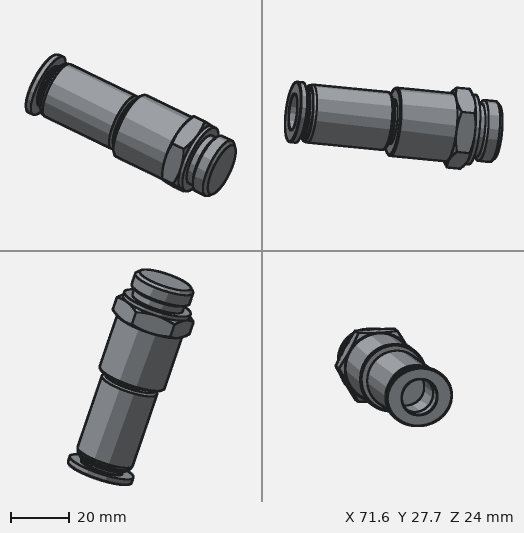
import cadquery as cq
import math


flange_width = 23.05
flange_height = 20.4
flange_thickness = 2.2
flange_edge_chamfer = 0.3
collet_neck_d = 14.5
collet_root_chamfer = 0.2
collet_end_x = 5.15
tube_bore_d = 12.3
bore_mouth_chamfer = 0.2

sleeve_start_x = 3.65
sleeve_lip_d = 17.3
lip_chamfer = 0.4
lip_end_x = 5.0
sleeve_d = 20.0
front_chamfer_length = 1.1
front_chamfer_depth = 0.35
sleeve_end_x = 33.45
rear_chamfer_length = 0.85
rear_chamfer_depth = 1.0
tube_bore_end_x = 17.2
shaft_d = 12.0
collar_start_x = 34.15

collar_d = 15.5
housing_start_x = 35.0
housing_d = 23.5
housing_chamfer = 0.4
hex_start_x = 55.05
hex_end_x = 61.6
hex_across_flats = 24.0
hex_chamfer_length = 1.0
seat_end_x = 63.1
seat_d = hex_across_flats
groove_d = 18.2
groove_end_x = 65.6
thread_start_x = 66.4
thread_d = 21.0
thread_chamfer = 1.2
overall_length = 71.6


def revolve_profile(points):
    """Revolve an (x, radius) outline, closed along the X axis, about that axis."""
    start_x = points[0][0]
    end_x = points[-1][0]
    outline = [(start_x, 0), *points, (end_x, 0)]
    return cq.Workplane("XY").polyline(outline).close().revolve(360, (0, 0, 0), (1, 0, 0))


def cylinder(diameter, start_x, end_x):
    return revolve_profile([(start_x, diameter / 2), (end_x, diameter / 2)])


def make_collet():
    flange = (
        cq.Workplane("YZ")
        .ellipse(flange_width / 2, flange_height / 2)
        .extrude(flange_thickness)
        .faces("<X")
        .edges()
        .chamfer(flange_edge_chamfer)
    )
    neck_r = collet_neck_d / 2
    neck = revolve_profile([
        (0, neck_r),
        (flange_thickness, neck_r),
        (flange_thickness, neck_r + collet_root_chamfer),
        (flange_thickness + collet_root_chamfer, neck_r),
        (collet_end_x, neck_r),
    ])
    bore_r = tube_bore_d / 2
    bore = revolve_profile([
        (0, bore_r + bore_mouth_chamfer),
        (bore_mouth_chamfer, bore_r),
        (collet_end_x, bore_r),
    ])
    return flange.union(neck).cut(bore)


def make_sleeve():
    lip_r = sleeve_lip_d / 2
    sleeve_r = sleeve_d / 2
    shaft_r = shaft_d / 2
    outside = revolve_profile([
        (sleeve_start_x, lip_r - lip_chamfer),
        (sleeve_start_x + lip_chamfer, lip_r),
        (lip_end_x, lip_r),
        (lip_end_x, sleeve_r - front_chamfer_depth),
        (lip_end_x + front_chamfer_length, sleeve_r),
        (sleeve_end_x - rear_chamfer_length, sleeve_r),
        (sleeve_end_x, sleeve_r - rear_chamfer_depth),
        (sleeve_end_x, shaft_r),
        (collar_start_x, shaft_r),
    ])
    collet_seat = cylinder(collet_neck_d, sleeve_start_x, collet_end_x)
    tube_bore = cylinder(tube_bore_d, collet_end_x, tube_bore_end_x)
    return outside.cut(collet_seat).cut(tube_bore)


def make_hex():
    """Hexagon with corners on the Y axis, both ends turned down to a cone."""
    corner_d = hex_across_flats / math.cos(math.radians(30))
    prism = (
        cq.Workplane("YZ", origin=(hex_start_x, 0, 0))
        .polygon(6, corner_d)
        .extrude(hex_end_x - hex_start_x)
    )
    turned_envelope = revolve_profile([
        (hex_start_x, hex_across_flats / 2),
        (hex_start_x + hex_chamfer_length, corner_d / 2),
        (hex_end_x - hex_chamfer_length, corner_d / 2),
        (hex_end_x, hex_across_flats / 2),
    ])
    return prism.intersect(turned_envelope)


def make_housing():
    collar_r = collar_d / 2
    housing_r = housing_d / 2
    seat_r = seat_d / 2
    groove_r = groove_d / 2
    thread_r = thread_d / 2
    turned_body = revolve_profile([
        (collar_start_x, collar_r),
        (housing_start_x, collar_r),
        (housing_start_x, housing_r - housing_chamfer),
        (housing_start_x + housing_chamfer, housing_r),
        (hex_end_x, housing_r),
        (hex_end_x, seat_r),
        (seat_end_x, seat_r),
        (seat_end_x, groove_r),
        (groove_end_x, groove_r),
        (thread_start_x, thread_r),
        (overall_length - thread_chamfer, thread_r),
        (overall_length, thread_r - thread_chamfer),
    ])
    return turned_body.union(make_hex())


collet = make_collet()
sleeve = make_sleeve()
housing = make_housing()

result = cq.Compound.makeCompound([collet.solids().val(), sleeve.solids().val(), housing.solids().val()])